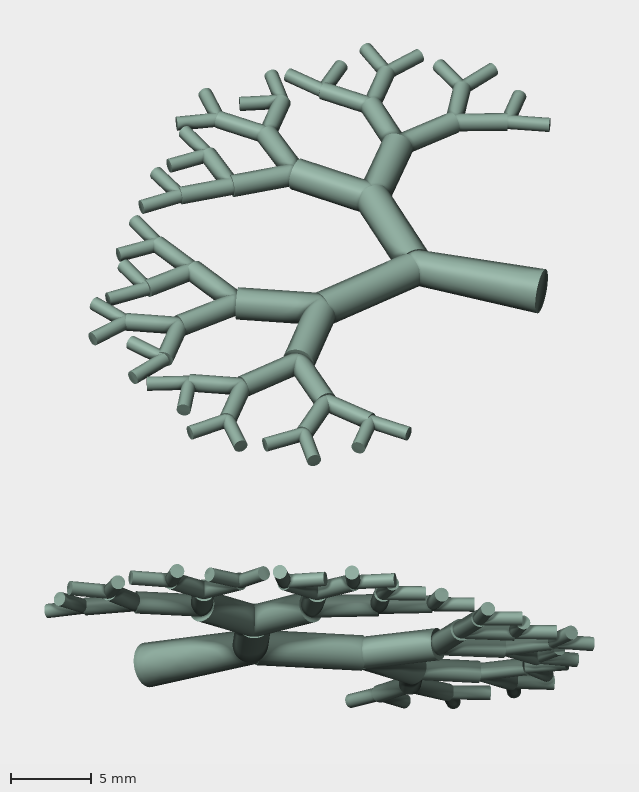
import cadquery as cq
import math


TRUNK_END_X = 13.17
TRUNK_LENGTH = 8.0
TRUNK_END_DIAMETER = 2.78
TRUNK_TIP_X = TRUNK_END_X - TRUNK_LENGTH

LIMB_DIAMETER = 2.2
LIMB_LENGTH = 6.66
LIMB_HEADING = 129.4
LIMB_START_X = 4.89
LIMB_START_Y = 0.34

STEM_DIAMETERS = [2.0, 1.38, 1.1, 0.88]
STEM_LENGTHS = [5.28, 4.15, 3.32, 2.63]
FORK_HALF_ANGLE = 40.0

LIMB_FORK = 129.6

OUTER_BOUGH_FORKS = (
    89.5,
    (57.5, (50.1, None, None), (99.9, None, None)),
    (130.0, (95.6, None, None), (121.3, None, None)),
)
INNER_BOUGH_FORKS = (
    172.5,
    (130.0, (161.1, None, None), (165.2, None, None)),
    (172.5, (180.0, None, None), (181.0, None, None)),
)

TRIM_SIZE = 5.0


def direction(heading):
    """Unit vector in the XY plane at a heading in degrees."""
    angle = math.radians(heading)
    return cq.Vector(math.cos(angle), math.sin(angle), 0)


def stem(start, heading, length, diameter):
    """A round stem with flat ends."""
    return cq.Workplane(cq.Solid.makeCylinder(diameter / 2, length, start, direction(heading)))


def grow(start, heading, forks, level=0):
    """A stem together with everything that grows from its far end, as one solid."""
    length = STEM_LENGTHS[level]
    tree = stem(start, heading, length, STEM_DIAMETERS[level])
    if forks is None:
        return tree
    middle, right_forks, left_forks = forks
    tip = start + direction(heading) * length
    tree = tree.union(grow(tip, middle - FORK_HALF_ANGLE, right_forks, level + 1))
    return tree.union(grow(tip, middle + FORK_HALF_ANGLE, left_forks, level + 1))


def left_block(point, heading):
    """A block to the left of a line through a point, big enough to trim the stems that meet there."""
    plane = cq.Plane(origin=point, xDir=direction(heading), normal=(0, 0, 1))
    return cq.Workplane(plane).center(0, TRIM_SIZE / 2).box(2 * TRIM_SIZE, TRIM_SIZE, TRIM_SIZE)


trunk_tip = cq.Vector(TRUNK_TIP_X, 0, 0)
cone = cq.Solid.makeCone(
    LIMB_DIAMETER / 2, TRUNK_END_DIAMETER / 2, TRUNK_LENGTH, trunk_tip, direction(0)
)
nose = cq.Workplane("XY", origin=trunk_tip.toTuple()).sphere(LIMB_DIAMETER / 2)
trunk = cq.Workplane(cone).union(nose)

limb_start = cq.Vector(LIMB_START_X, LIMB_START_Y, 0)
limb = stem(limb_start, LIMB_HEADING, LIMB_LENGTH, LIMB_DIAMETER)
limb_tip = limb_start + direction(LIMB_HEADING) * LIMB_LENGTH
limb_body = limb.cut(left_block(trunk_tip, 180)).cut(trunk)

outer_tree = grow(limb_tip, LIMB_FORK - FORK_HALF_ANGLE, OUTER_BOUGH_FORKS)
inner_tree = grow(limb_tip, LIMB_FORK + FORK_HALF_ANGLE, INNER_BOUGH_FORKS)
outer_bough = outer_tree.cut(left_block(limb_tip, LIMB_FORK)).cut(limb)
inner_bough = inner_tree.cut(left_block(limb_tip, LIMB_FORK + 180)).cut(limb)

bodies = [trunk.val()]
for body in (limb_body, outer_bough, inner_bough):
    bodies.append(body.val())
    bodies.append(body.mirror("XZ").val())

result = cq.Compound.makeCompound(bodies)